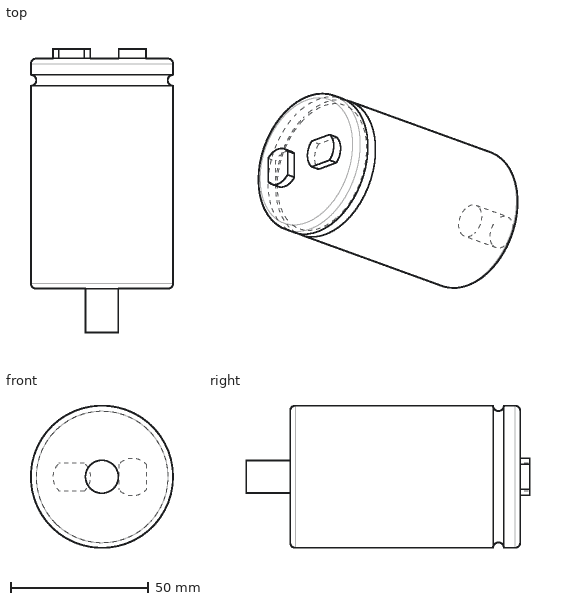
import cadquery as cq


total_length = 103.5
can_diameter = 52.0
can_radius = can_diameter / 2

stud_length = 16.0
terminal_height = 3.5
can_length = total_length - stud_length - terminal_height

edge_radius = 2.0
groove_radius = 2.0
rim_width = 6.0
groove_centre_y = can_length - rim_width - groove_radius

stud_diameter = 12.0

terminal_diameter = 13.7
terminal_width = 10.0
terminal_offset = 11.1


def make_can():
    """Cylinder with rounded end edges and a half-round groove rolled in below the rim."""
    can = (
        cq.Workplane("XZ")
        .circle(can_radius)
        .extrude(-can_length)
        .edges()
        .fillet(edge_radius)
    )
    groove = (
        cq.Workplane("XY")
        .center(can_radius, groove_centre_y)
        .circle(groove_radius)
        .revolve(360, (-can_radius, 0), (-can_radius, 1))
    )
    return can.cut(groove)


def make_stud():
    """Plain round stud on the -Y face of the can."""
    return cq.Workplane("XZ").circle(stud_diameter / 2).extrude(stud_length)


def make_terminal(centre_x, size_x, size_z):
    """Disc on the +Y face of the can, trimmed to size_x by size_z."""
    base = cq.Workplane("XZ", origin=(centre_x, can_length, 0))
    disc = base.circle(terminal_diameter / 2).extrude(-terminal_height)
    trim = base.rect(size_x, size_z).extrude(-terminal_height)
    return disc.intersect(trim)


result = (
    make_can()
    .union(make_stud())
    .union(make_terminal(-terminal_offset, terminal_diameter, terminal_width))
    .union(make_terminal(terminal_offset, terminal_width, terminal_diameter))
)